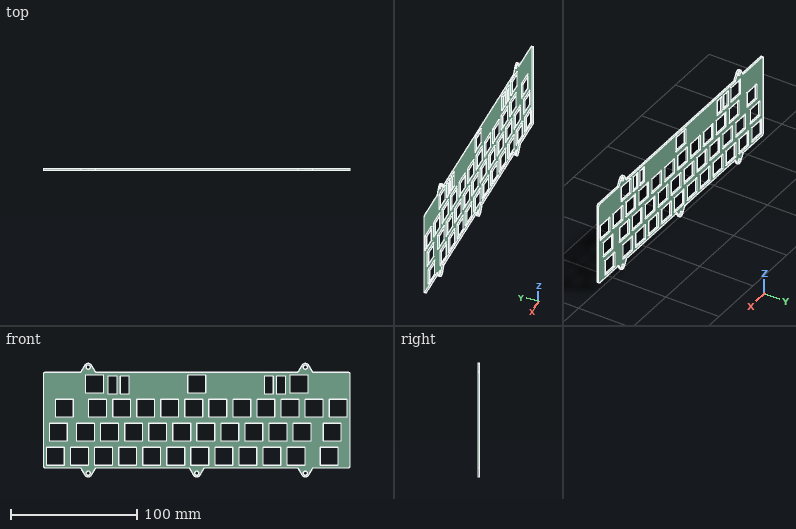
import cadquery as cq
import math

plate_length = 243.0
plate_thickness = 1.5
overall_height = 90.0
corner_radius = 1.7

keys_long = 12.75
row_count = 4
key_pitch = plate_length / keys_long
plate_height = row_count * key_pitch

key_web = 5.0
switch_size = key_pitch - key_web

slot_width = 6.8
slot_height = 14.0
slot_drop = 0.7
slot_offsets = [3.0, 3.5]

tab_base_width = 11.7
tab_hole_diameter = 3.2
tab_spacing = 86.0
tab_height = 42.0
tab_tip_radius = overall_height / 2 - tab_height

key_rows = [
    [1.0] * 11 + [1.75],
    [1.25] + [1.0] * 10 + [1.5],
    [1.75] + [1.0] * 11,
    [keys_long / 3] * 3,
]


def row_z(row):
    return (row + 0.5) * key_pitch - plate_height / 2


def key_centres():
    """Centre of every key, with each row starting at the left plate edge."""
    centres = []
    for row, widths in enumerate(key_rows):
        left = -plate_length / 2
        for width in widths:
            centres.append((left + width * key_pitch / 2, row_z(row)))
            left += width * key_pitch
    return centres


def slot_centres():
    slot_z = row_z(row_count - 1) - slot_drop
    return [(side * offset * key_pitch, slot_z) for side in (-1, 1) for offset in slot_offsets]


def sheet():
    """Workplane in the XZ plane whose extrusions are centred on Y = 0."""
    return cq.Workplane("XZ")


def tab(x, side):
    """Screw tab at x on the top (side = 1) or bottom (side = -1) edge."""
    half_base = tab_base_width / 2
    rise = tab_height - plate_height / 2

    corner_angle = math.atan2(rise, half_base)
    tangent_angle = math.acos(tab_tip_radius / math.hypot(half_base, rise)) - corner_angle
    touch_x = tab_tip_radius * math.cos(tangent_angle)
    touch_z = side * (tab_height + tab_tip_radius * math.sin(tangent_angle))
    edge_z = side * plate_height / 2
    root_z = edge_z - side * corner_radius

    return (
        sheet()
        .moveTo(x - half_base, root_z)
        .lineTo(x - half_base, edge_z)
        .lineTo(x - touch_x, touch_z)
        .threePointArc((x, side * overall_height / 2), (x + touch_x, touch_z))
        .lineTo(x + half_base, edge_z)
        .lineTo(x + half_base, root_z)
        .close()
        .extrude(plate_thickness / 2, both=True)
    )


def rectangles(centres, width, height):
    return sheet().pushPoints(centres).rect(width, height).extrude(plate_thickness, both=True)


tab_positions = [(x, 1) for x in (-tab_spacing, tab_spacing)]
tab_positions += [(x, -1) for x in (-tab_spacing, 0, tab_spacing)]

plate = sheet().rect(plate_length, plate_height).extrude(plate_thickness / 2, both=True)
plate = plate.edges("|Y").fillet(corner_radius)

for x, side in tab_positions:
    plate = plate.union(tab(x, side))

tab_holes = (
    sheet()
    .pushPoints([(x, side * tab_height) for x, side in tab_positions])
    .circle(tab_hole_diameter / 2)
    .extrude(plate_thickness, both=True)
)

result = (
    plate.cut(tab_holes)
    .cut(rectangles(key_centres(), switch_size, switch_size))
    .cut(rectangles(slot_centres(), slot_width, slot_height))
)